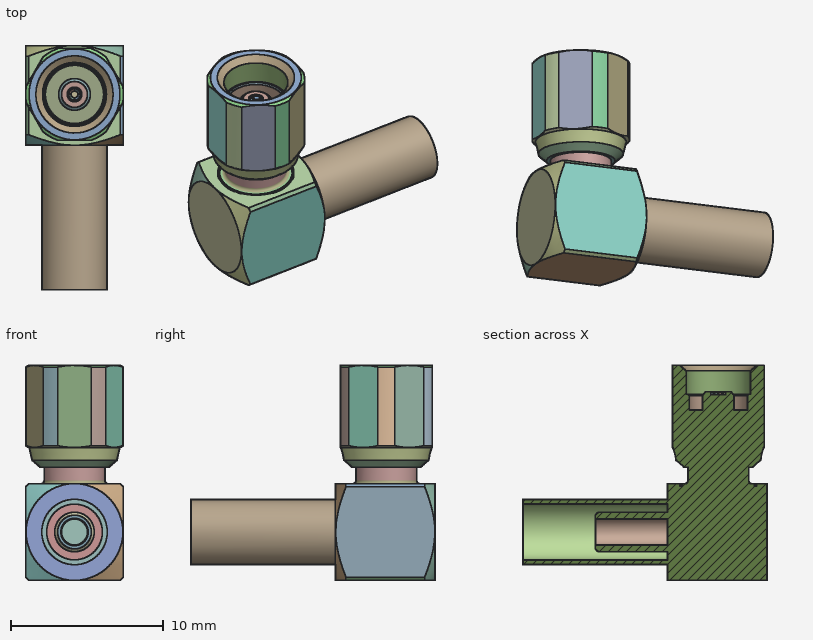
import cadquery as cq
import math


CONE_SLOPE = math.tan(math.radians(30))

body_width = 6.4
body_height = 6.34
body_back = 3.2
body_front = -3.33
body_edge_chamfer = 0.2
body_face_radius = 3.17
body_top = body_height / 2

ferrule_end = -12.8
ferrule_radius = 2.15
ferrule_bore_radius = 1.82
post_radius = 1.3
post_length = (body_front - ferrule_end) / 2
post_edge_chamfer = 0.2
post_bore_radius = 0.85
post_bore_chamfer = 0.05

groove_outer_radius = 2.5
groove_inner_radius = 2.38
groove_depth = 0.16
neck_radius = 2.0
neck_fillet = 0.2

nut_top = body_top + 7.76
nut_bottom = 5.52
nut_across_flats = 6.02
nut_corner_radius = 3.2
nut_face_radius = 2.98
nut_skirt_z = 4.7
nut_skirt_radius = 2.78
nut_end_z = 4.22
nut_end_radius = 2.24

nut_mouth_radius = 2.53
nut_bore_radius = 2.1
nut_mouth_depth = 0.38
shelf_z = 9.02
socket_mouth_radius = 2.0
socket_radius = 1.9
socket_chamfer = socket_mouth_radius - socket_radius
socket_floor_z = 8.0

insulator_radius = 1.04
insulator_top_z = 9.18
insulator_chamfer = 0.2
contact_radius = 0.48
contact_recess = 0.06
dimple_radius = 0.38
dimple_floor_radius = 0.22
dimple_depth = 0.13
contact_slot_width = 0.06


def turned_on_z(points):
    """Solid of revolution about Z from (radius, z) points."""
    return cq.Workplane("XZ").polyline(points).close().revolve(360, (0, 0), (0, 1))


def turned_on_y(points):
    """Solid of revolution about Y from (radius, y) points."""
    return cq.Workplane("XY").polyline(points).close().revolve(360, (0, 0), (0, 1))


def make_body():
    """Block with chamfered long edges and conical corners on both end faces."""
    length = body_back - body_front
    block = (
        cq.Workplane("XY")
        .box(body_width, length, body_height)
        .translate((0, (body_back + body_front) / 2, 0))
        .edges("|Y")
        .chamfer(body_edge_chamfer)
    )
    rim_radius = math.hypot(body_width, body_height) / 2
    rim_drop = (rim_radius - body_face_radius) * CONE_SLOPE
    envelope = turned_on_y([
        (0, body_front),
        (body_face_radius, body_front),
        (rim_radius, body_front + rim_drop),
        (rim_radius, body_back - rim_drop),
        (body_face_radius, body_back),
        (0, body_back),
    ])
    return block.intersect(envelope)


def make_ferrule():
    """Open crimp tube with its cable post standing on the body's front face."""
    tube = turned_on_y([
        (ferrule_bore_radius, body_front),
        (ferrule_radius, body_front),
        (ferrule_radius, ferrule_end),
        (ferrule_bore_radius, ferrule_end),
    ])
    post_end = body_front - post_length
    post = turned_on_y([
        (post_bore_radius, body_front),
        (post_radius, body_front),
        (post_radius, post_end + post_edge_chamfer),
        (post_radius - post_edge_chamfer, post_end),
        (post_bore_radius + post_bore_chamfer, post_end),
        (post_bore_radius, post_end + post_bore_chamfer),
    ])
    return tube.union(post)


def make_neck():
    """Neck that carries the nut, flared by a fillet where it meets the body."""
    profile = (
        cq.Workplane("XZ")
        .moveTo(0, body_top)
        .lineTo(neck_radius + neck_fillet, body_top)
        .radiusArc((neck_radius, body_top + neck_fillet), neck_fillet)
        .lineTo(neck_radius, nut_end_z)
        .lineTo(0, nut_end_z)
        .close()
    )
    return profile.revolve(360, (0, 0), (0, 1))


def make_groove():
    """Narrow ring groove in the body's top face."""
    groove_floor_z = body_top - groove_depth
    return turned_on_z([
        (groove_inner_radius, body_top),
        (groove_outer_radius, body_top),
        (groove_outer_radius, groove_floor_z),
        (groove_inner_radius, groove_floor_z),
    ])


def make_nut():
    """Hexagon with turned corners and a tapered skirt, before boring."""
    corner_drop = (nut_corner_radius - nut_face_radius) * CONE_SLOPE
    hexagon = (
        cq.Workplane("XY")
        .workplane(offset=nut_end_z)
        .polygon(6, nut_across_flats / math.cos(math.pi / 6))
        .extrude(nut_top - nut_end_z)
    )
    envelope = turned_on_z([
        (0, nut_end_z),
        (nut_end_radius, nut_end_z),
        (nut_skirt_radius, nut_skirt_z),
        (nut_face_radius, nut_bottom),
        (nut_corner_radius, nut_bottom + corner_drop),
        (nut_corner_radius, nut_top - corner_drop),
        (nut_face_radius, nut_top),
        (0, nut_top),
    ])
    return hexagon.intersect(envelope)


def make_nut_bore():
    """Stepped bore that leaves the insulator boss standing on its floor."""
    return turned_on_z([
        (0, nut_top),
        (nut_mouth_radius, nut_top),
        (nut_bore_radius, nut_top - nut_mouth_depth),
        (nut_bore_radius, shelf_z),
        (socket_mouth_radius, shelf_z),
        (socket_radius, shelf_z - socket_chamfer),
        (socket_radius, socket_floor_z),
        (insulator_radius, socket_floor_z),
        (insulator_radius, insulator_top_z - insulator_chamfer),
        (insulator_radius - insulator_chamfer, insulator_top_z),
        (0, insulator_top_z),
    ])


def make_contact_recess():
    """Shallow dimpled recess in the insulator, crossed by two slots."""
    contact_z = insulator_top_z - contact_recess
    dimple_floor_z = contact_z - dimple_depth
    recess = turned_on_z([
        (0, insulator_top_z),
        (contact_radius, insulator_top_z),
        (contact_radius, contact_z),
        (dimple_radius, contact_z),
        (dimple_floor_radius, dimple_floor_z),
        (0, dimple_floor_z),
    ])
    slot_depth = insulator_top_z - dimple_floor_z
    for angle in (0, 90):
        slot = (
            cq.Workplane("XY")
            .box(2 * contact_radius, contact_slot_width, slot_depth, centered=(True, True, False))
            .translate((0, 0, dimple_floor_z))
            .rotate((0, 0, 0), (0, 0, 1), angle)
        )
        recess = recess.union(slot)
    return recess


result = (
    make_body()
    .cut(make_groove())
    .union(make_ferrule())
    .union(make_neck())
    .union(make_nut())
    .cut(make_nut_bore())
    .cut(make_contact_recess())
)